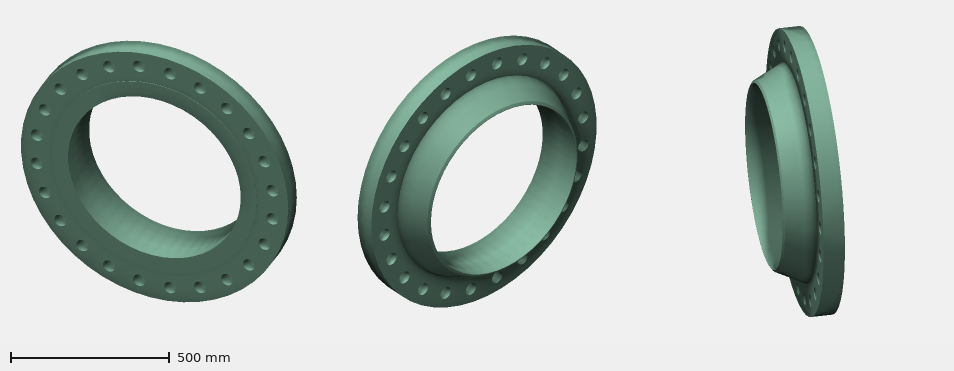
import cadquery as cq
import math

flange_diameter = 914.4
bore_diameter = 590.55
raised_face_diameter = 701.55
hub_base_diameter = 701.55
hub_end_diameter = 609.6

total_length = 168.21
raised_face_height = 1.6
flange_thickness = 68.3

weld_land = 1.6
weld_bevel_angle = 35

bolt_count = 24
bolt_circle_diameter = 812.8
bolt_hole_diameter = 41.4

bore_radius = bore_diameter / 2
hub_end_radius = hub_end_diameter / 2
land_radius = bore_radius + weld_land
flange_back = raised_face_height + flange_thickness
bevel_length = (hub_end_radius - land_radius) * math.tan(math.radians(weld_bevel_angle))


def make_body():
    """Revolve the (radius, axial position) half section about the Y axis."""
    section = [
        (bore_radius, 0),
        (raised_face_diameter / 2, 0),
        (raised_face_diameter / 2, raised_face_height),
        (flange_diameter / 2, raised_face_height),
        (flange_diameter / 2, flange_back),
        (hub_base_diameter / 2, flange_back),
        (hub_end_radius, total_length - bevel_length),
        (land_radius, total_length),
        (bore_radius, total_length),
    ]
    return cq.Workplane("XY").polyline(section).close().revolve(360, (0, 0, 0), (0, 1, 0))


def make_bolt_holes():
    """Through-hole cutters, with the X and Z axes midway between two holes."""
    pitch_angle = 360 / bolt_count
    return (
        cq.Workplane("XZ")
        .polarArray(bolt_circle_diameter / 2, pitch_angle / 2, 360, bolt_count)
        .circle(bolt_hole_diameter / 2)
        .extrude(-flange_back)
    )


result = make_body().cut(make_bolt_holes())